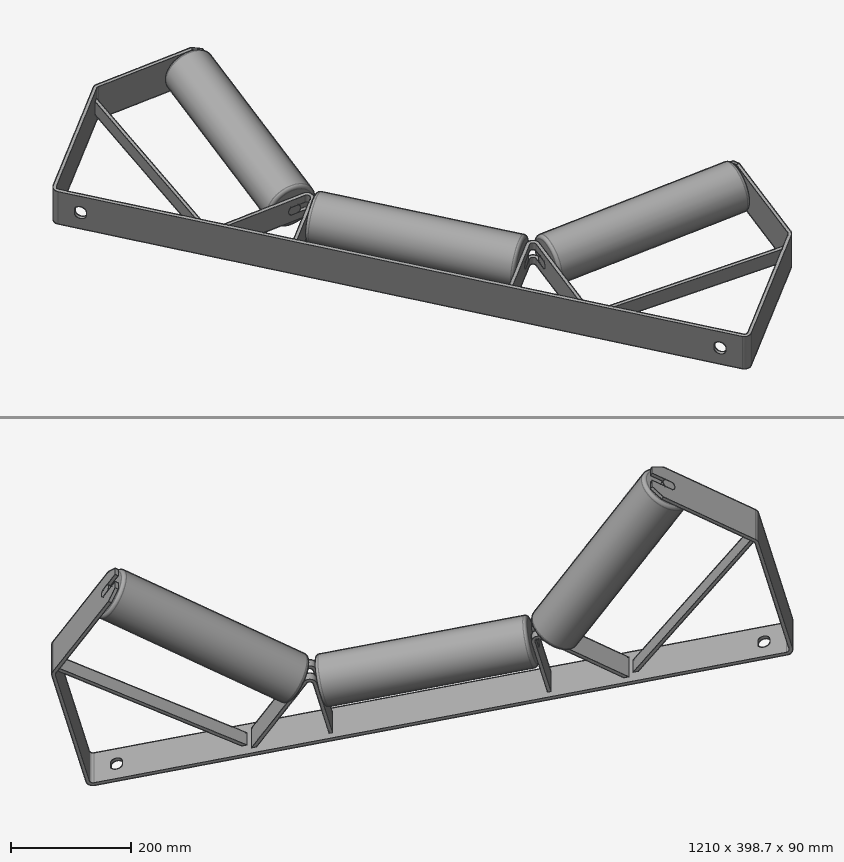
import cadquery as cq
import math


thickness = 6.0
strip_width = 77.0
bracket_width = 51.0
bend_radius = 12.0

roller_diameter = 90.0
roller_length = 363.0
roller_rounding = 6.0
bracket_span = 368.0
spindle_diameter = 23.0
spindle_flats = 18.0
wing_angle = 45.0
wing_x = 348.0
wing_y = 241.0
middle_y = 99.0

frame_length = 1210.0
tip_reach = 33.0
tip_width = 51.0
tip_taper = 22.0
mount_x = 554.0
mount_width = 20.0
mount_height = 28.0

brace_width = 31.0
brace_top = 247.0
brace_foot_x = 330.0

half_length = frame_length / 2
half_span = bracket_span / 2
wing_radians = math.radians(wing_angle)
outward = (-math.cos(wing_radians), math.sin(wing_radians))
upward = (math.sin(wing_radians), math.cos(wing_radians))


def wing_point(along, across):
    """Point given by its distances along and across the left wing roller axis."""
    return (-wing_x + along * outward[0] + across * upward[0],
            wing_y + along * outward[1] + across * upward[1])


def wing_plane(along):
    """Plane square to the left wing axis: local x runs across the axis, local y along Z."""
    x, y = wing_point(along, 0)
    return cq.Plane(origin=(x, y, 0), xDir=(*upward, 0), normal=(-outward[0], -outward[1], 0))


def mirrored(body):
    return body.mirror("YZ")


def tapered_tip(plane, tip, depth):
    """Both corners to cut off a strip that ends at local x = tip, leaving the tip width."""
    half_tip = tip_width / 2
    half_strip = strip_width / 2
    corner = [(tip - tip_taper, half_strip), (tip, half_tip), (tip, half_strip)]
    cutter = cq.Workplane(plane).polyline(corner).close().extrude(depth, both=True)
    return cutter.union(cutter.mirror("XY"))


def spindle_bar(plane, depth):
    """Round bar with two flats facing +Z and -Z, as deep on both sides of the plane."""
    bar = cq.Workplane(plane).circle(spindle_diameter / 2).extrude(depth, both=True)
    flats = cq.Workplane(plane).rect(spindle_diameter, spindle_flats).extrude(depth, both=True)
    return bar.intersect(flats)


def spindle_slot(plane, end, depth):
    """Slot fitting the spindle flats, open towards local +x."""
    opening = cq.Workplane(plane).center(end / 2, 0).rect(end, spindle_flats).extrude(depth, both=True)
    return opening.union(spindle_bar(plane, depth))


def make_roller():
    end_plane = cq.Workplane("YZ", origin=(-roller_length / 2, 0, 0))
    shell = end_plane.circle(roller_diameter / 2).extrude(roller_length)
    shell = shell.faces("<X or >X").edges().fillet(roller_rounding)
    return shell.union(spindle_bar(cq.Plane.YZ(), half_span + thickness))


def make_wing_roller():
    roller = make_roller().rotate((0, 0, 0), (0, 0, 1), -wing_angle)
    return roller.translate((-wing_x, wing_y, 0))


def make_frame():
    knee_across = (wing_x - half_length - (half_span + thickness) * outward[0]) / upward[0]
    knee = wing_point(half_span + thickness, knee_across)
    inner_knee_y = knee[1] - thickness * math.tan(wing_radians / 2)
    outer_tip = wing_point(half_span + thickness, tip_reach)
    inner_tip = wing_point(half_span, tip_reach)
    inner_x = half_length - thickness

    left_outer = [(-half_length, 0), knee, outer_tip]
    left_inner = [inner_tip, (-inner_x, inner_knee_y), (-inner_x, thickness)]
    left_side = left_outer + left_inner
    right_side = [(-x, y) for x, y in reversed(left_side)]
    frame = cq.Workplane("XY").polyline(left_side + right_side).close().extrude(strip_width / 2, both=True)

    inner_radius = bend_radius - thickness
    bends = [((-half_length, 0), bend_radius), (knee, bend_radius),
             ((-inner_x, thickness), inner_radius), ((-inner_x, inner_knee_y), inner_radius)]
    for (x, y), radius in bends:
        for side in (-1, 1):
            edge = cq.selectors.NearestToPointSelector((side * x, y, 0))
            frame = frame.edges("|Z").edges(edge).fillet(radius)

    plane = wing_plane(half_span + thickness / 2)
    end_cut = tapered_tip(plane, tip_reach, thickness)
    end_cut = end_cut.union(spindle_slot(plane, tip_reach, thickness))
    frame = frame.cut(end_cut).cut(mirrored(end_cut))

    mounts = (cq.Workplane("XZ").pushPoints([(-mount_x, 0), (mount_x, 0)])
              .slot2D(mount_height, mount_width, 90).extrude(-thickness))
    return frame.cut(mounts)


def make_inner_bracket():
    turn = math.pi - wing_radians
    centre_offset = half_span + bend_radius
    bend_x = -centre_offset
    across = (bend_x + wing_x + centre_offset * outward[0]) / upward[0]
    bend_y = wing_point(-centre_offset, across)[1]

    def on_bend(radius, angle):
        return (bend_x + radius * math.cos(angle), bend_y + radius * math.sin(angle))

    inner_radius = bend_radius - thickness

    def leg_foot(radius):
        """Inclined leg face, at the given distance from the bend centre, run down to the base."""
        x, y = on_bend(radius, turn)
        return (x - (y - thickness) * math.tan(wing_radians), thickness)

    bracket = (cq.Workplane("XY").moveTo(-half_span, thickness)
               .lineTo(-half_span, bend_y)
               .threePointArc(on_bend(bend_radius, turn / 2), on_bend(bend_radius, turn))
               .lineTo(*leg_foot(bend_radius))
               .lineTo(*leg_foot(inner_radius))
               .lineTo(*on_bend(inner_radius, turn))
               .threePointArc(on_bend(inner_radius, turn / 2), on_bend(inner_radius, 0))
               .lineTo(bend_x + inner_radius, thickness)
               .close().extrude(bracket_width / 2, both=True))

    inclined = wing_plane(-half_span - thickness / 2)
    upright = cq.Plane(origin=(-half_span - thickness / 2, middle_y, 0), xDir=(0, 1, 0), normal=(1, 0, 0))
    for plane, bend_reach in ((inclined, across), (upright, bend_y - middle_y)):
        bracket = bracket.cut(spindle_slot(plane, bend_reach + bend_radius, bend_radius))
    return bracket


def make_brace():
    top_x = -half_length + thickness
    slope = math.atan2(brace_top - thickness, -brace_foot_x - top_x)
    foot_run = thickness / math.sin(slope)
    top_drop = thickness / math.cos(slope)
    outline = [(top_x, brace_top), (-brace_foot_x, thickness),
               (-brace_foot_x - foot_run, thickness), (top_x, brace_top - top_drop)]
    return cq.Workplane("XY").polyline(outline).close().extrude(brace_width / 2, both=True)


frame = make_frame()
middle_roller = make_roller().translate((0, middle_y, 0))
bodies = [frame.val(), middle_roller.val()]
for left_body in (make_wing_roller(), make_inner_bracket(), make_brace()):
    bodies.append(left_body.val())
    bodies.append(mirrored(left_body).val())

result = cq.Compound.makeCompound(bodies)